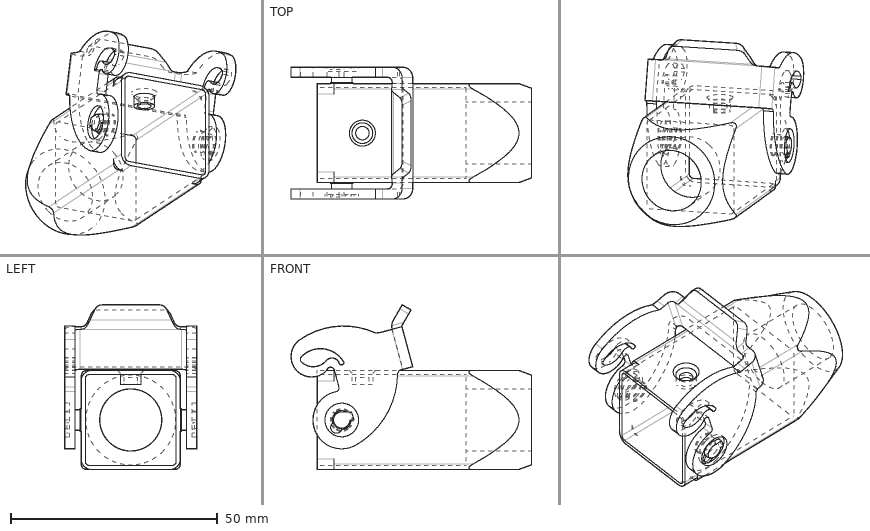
import cadquery as cq
import math


HOOD_LENGTH = 51.9
HOOD_SIZE = 24.0
HALF_SIZE = HOOD_SIZE / 2
WALL = 1.0
CAVITY_SIZE = HOOD_SIZE - 2 * WALL
CAVITY_DEPTH = 36.0
CAVITY_CORNER = 1.0
BODY_CORNER = 1.35
MOUTH_CORNER = 2.55
MOUTH_LENGTH = 4.1
CABLE_HOLE_DIAMETER = 15.0
NOSE_END_RADIUS = 10.9
NOSE_ANGLE = 20.0

SCREW_X = 10.95
SCREW_DIAMETER = 3.25
SCREW_HEAD_DIAMETER = 6.3
SCREW_SEAT_DEPTH = 1.75
SCREW_BOSS_DIAMETER = 5.0
SCREW_BOSS_LENGTH = 2.4

LEVER_WIDTH = 32.0
LEVER_HALF = LEVER_WIDTH / 2
SHEET = 2.5
ARM_INNER_Y = LEVER_HALF - SHEET
ARM_TILT = 15.0
LEVER_BEND_RADIUS = 2.55
LEVER_INNER_FILLET = 1.15

PIVOT_X = 5.95
PIVOT_Z = HALF_SIZE
PIVOT_RADIUS = 2.5
PIVOT_COLLAR_RADIUS = 2.75
PIVOT_COLLAR_HEIGHT = 0.25
DISC_RADIUS = 7.0
RECESS_RADIUS = 4.1
RECESS_DEPTH = 1.1
PIN_HEAD_RADIUS = 2.0
PIN_ROOT_RADIUS = 2.3
PIN_FLAT_END = (2.35, PIN_HEAD_RADIUS)
PIN_POINT_REACH = 3.05
PIN_LOBE_RADIUS = 1.4
PIN_LOBE_OFFSET = (-1.3, -1.8)

HOOK_CENTER = (-1.35, 27.4)
HOOK_RADIUS = 5.0
CROWN_CENTER = (6.4, 16.15)
CROWN_RADIUS = 18.65
CROWN_END_X = 14.15
DIP_X = 15.8
BACK_RADIUS = 20.05
BACK_CENTER_Z = 23.3
NOTCH_CENTER = (3.25, 23.8)
NOTCH_RADIUS = 0.95
NOTCH_START_ANGLE = 165
THROAT_END_X = 5.25
THROAT_DISC_ANGLE = 101
HEEL_STEP = 0.8
MOUTH_SIDE_ANGLE = 200

SLOT_END_TOP = (-4.0, 27.1)
SLOT_CROWN = (0.9, 29.25)
SLOT_TAIL_OUTER = (6.45, 25.9)
SLOT_TAIL_TIP = (6.05, 25.4)
SLOT_TAIL_INNER = (5.3, 25.85)
SLOT_FINGER_TOP = (3.5, 27.05)
SLOT_FINGER_END = (2.15, 26.35)
SLOT_BOTTOM = (-0.7, 24.95)
SLOT_END_BOTTOM = (-4.0, 26.3)

BRIDGE_FOOT = (20.75, 24.25)
BRIDGE_HEIGHT = 10.1
TAB_TILT = 30.0
TAB_BEND_RADIUS = 2.9
TAB_LENGTH = 4.3
TAB_ROOT_HALF = 11.05
TAB_SIDE_ANGLE = 30.0
TAB_FLARE_RADIUS = 1.75
TAB_CORNER = 1.75


def point_on_circle(center, radius, angle):
    """Point at an angle in degrees, measured from the first axis."""
    turn = math.radians(angle)
    return (center[0] + radius * math.cos(turn), center[1] + radius * math.sin(turn))


def angle_between(start, end):
    """Direction in degrees from one point to another."""
    return math.degrees(math.atan2(end[1] - start[1], end[0] - start[0]))


def along_x(size, corner, start, length):
    """Rounded square bar running along X on the hood centreline."""
    return (
        cq.Workplane("YZ", origin=(start, 0, HALF_SIZE))
        .rect(size, size)
        .extrude(length)
        .edges("|X")
        .fillet(corner)
    )


def hood():
    body = along_x(HOOD_SIZE, MOUTH_CORNER, 0, MOUTH_LENGTH).union(
        along_x(HOOD_SIZE, BODY_CORNER, MOUTH_LENGTH, HOOD_LENGTH - MOUTH_LENGTH)
    )

    mouth_cone_radius = NOSE_END_RADIUS + HOOD_LENGTH * math.tan(math.radians(NOSE_ANGLE))
    cone = (
        cq.Workplane("XY", origin=(0, 0, HALF_SIZE))
        .polyline([(0, 0), (0, mouth_cone_radius), (HOOD_LENGTH, NOSE_END_RADIUS), (HOOD_LENGTH, 0)])
        .close()
        .revolve(360, (0, 0, 0), (1, 0, 0))
    )
    body = body.intersect(cone)

    body = body.cut(along_x(CAVITY_SIZE, CAVITY_CORNER, 0, CAVITY_DEPTH))
    cable_hole = (
        cq.Workplane("YZ", origin=(0, 0, HALF_SIZE)).circle(CABLE_HOLE_DIAMETER / 2).extrude(HOOD_LENGTH)
    )
    body = body.cut(cable_hole)

    boss = (
        cq.Workplane("XY", origin=(SCREW_X, 0, HOOD_SIZE - WALL / 2))
        .circle(SCREW_BOSS_DIAMETER / 2)
        .extrude(-SCREW_BOSS_LENGTH - WALL / 2)
    )
    return body.union(boss).cut(screw_hole())


def screw_hole():
    """Through hole in the top wall and boss, with a conical seat for the screw head."""
    head_radius = SCREW_HEAD_DIAMETER / 2
    hole_radius = SCREW_DIAMETER / 2
    seat_bottom = HOOD_SIZE - SCREW_SEAT_DEPTH
    boss_bottom = HOOD_SIZE - WALL - SCREW_BOSS_LENGTH
    return (
        cq.Workplane("XZ", origin=(SCREW_X, 0, 0))
        .polyline(
            [
                (0, boss_bottom),
                (hole_radius, boss_bottom),
                (hole_radius, seat_bottom),
                (head_radius, HOOD_SIZE),
                (0, HOOD_SIZE),
            ]
        )
        .close()
        .revolve(360, (0, 0, 0), (0, 1, 0))
    )


def on_side(y):
    """Sketch plane with axes X and Z whose extrusions run outward, towards -Y."""
    return cq.Workplane("XZ", origin=(0, y, 0))


def arm_blank():
    """Lever arm plate on the -Y side, without its hook slot and pin recess."""
    pivot = (PIVOT_X, PIVOT_Z)
    uphill = math.tan(math.radians(ARM_TILT))
    shoulder = point_on_circle(BRIDGE_FOOT, BRIDGE_HEIGHT, 90 + ARM_TILT)
    outer_foot = point_on_circle(BRIDGE_FOOT, SHEET, ARM_TILT)
    outer_shoulder = point_on_circle(shoulder, SHEET, ARM_TILT)

    back_drop = BACK_CENTER_Z - PIVOT_Z
    back_center = (PIVOT_X - math.sqrt((BACK_RADIUS - DISC_RADIUS) ** 2 - back_drop ** 2), BACK_CENTER_Z)
    tangent_angle = angle_between(back_center, pivot)
    back_top = point_on_circle(back_center, BACK_RADIUS, 0)
    back_mid = point_on_circle(back_center, BACK_RADIUS, tangent_angle / 2)
    back_end = point_on_circle(back_center, BACK_RADIUS, tangent_angle)
    heel = (BRIDGE_FOOT[0] - HEEL_STEP, BRIDGE_FOOT[1] - HEEL_STEP * uphill)

    crown_angle = angle_between(CROWN_CENTER, HOOK_CENTER)
    crown_start = point_on_circle(CROWN_CENTER, CROWN_RADIUS, crown_angle)
    crown_rise = math.sqrt(CROWN_RADIUS ** 2 - (CROWN_END_X - CROWN_CENTER[0]) ** 2)
    crown_end = (CROWN_END_X, CROWN_CENTER[1] + crown_rise)
    dip = (DIP_X, shoulder[1] - (shoulder[0] - DIP_X) * uphill)

    notch_left = point_on_circle(NOTCH_CENTER, NOTCH_RADIUS, NOTCH_START_ANGLE)
    notch_right = point_on_circle(NOTCH_CENTER, NOTCH_RADIUS, ARM_TILT)
    throat_end = (THROAT_END_X, notch_right[1] - (THROAT_END_X - notch_right[0]) / uphill)
    disc_start = point_on_circle(pivot, DISC_RADIUS, THROAT_DISC_ANGLE)

    return (
        on_side(-ARM_INNER_Y)
        .moveTo(*outer_foot)
        .lineTo(*outer_shoulder)
        .lineTo(*shoulder)
        .lineTo(*dip)
        .tangentArcPoint(crown_end, relative=False)
        .threePointArc(point_on_circle(CROWN_CENTER, CROWN_RADIUS, 90), crown_start)
        .threePointArc(point_on_circle(HOOK_CENTER, HOOK_RADIUS, MOUTH_SIDE_ANGLE), notch_left)
        .threePointArc(point_on_circle(NOTCH_CENTER, NOTCH_RADIUS, 90), notch_right)
        .lineTo(*throat_end)
        .tangentArcPoint(disc_start, relative=False)
        .threePointArc(point_on_circle(pivot, DISC_RADIUS, MOUTH_SIDE_ANGLE), back_end)
        .threePointArc(back_mid, back_top)
        .lineTo(*heel)
        .lineTo(*BRIDGE_FOOT)
        .close()
        .extrude(SHEET)
    )


def hook_slot():
    """Curved opening that leaves the hook as a springy finger."""
    return (
        on_side(-ARM_INNER_Y)
        .moveTo(*SLOT_END_TOP)
        .threePointArc(SLOT_CROWN, SLOT_TAIL_OUTER)
        .threePointArc(SLOT_TAIL_TIP, SLOT_TAIL_INNER)
        .threePointArc(SLOT_FINGER_TOP, SLOT_FINGER_END)
        .threePointArc(SLOT_BOTTOM, SLOT_END_BOTTOM)
        .close()
        .extrude(SHEET)
    )


def pin_head():
    """Riveted pin end inside the recess: tapered core, pointed flat and low lobe."""
    recess_floor = -(LEVER_HALF - RECESS_DEPTH)
    center = cq.Workplane("XZ", origin=(PIVOT_X, recess_floor, PIVOT_Z))
    draft = math.degrees(math.atan((PIN_ROOT_RADIUS - PIN_HEAD_RADIUS) / RECESS_DEPTH))
    core = center.circle(PIN_ROOT_RADIUS).extrude(RECESS_DEPTH, taper=draft)
    flat = (
        center.polyline([(0, 0), (0, PIN_HEAD_RADIUS), PIN_FLAT_END, (PIN_POINT_REACH, 0)])
        .close()
        .extrude(RECESS_DEPTH)
    )
    lobe = center.center(*PIN_LOBE_OFFSET).circle(PIN_LOBE_RADIUS).extrude(RECESS_DEPTH / 2)
    return core.union(flat).union(lobe)


def side_parts():
    """Arm, pivot and pin head of the -Y side."""
    recess = (
        cq.Workplane("XZ", origin=(PIVOT_X, -LEVER_HALF + RECESS_DEPTH, PIVOT_Z))
        .circle(RECESS_RADIUS)
        .extrude(RECESS_DEPTH)
    )
    pivot_base = cq.Workplane("XZ", origin=(PIVOT_X, -HALF_SIZE, PIVOT_Z))
    pivot = pivot_base.circle(PIVOT_RADIUS).extrude(ARM_INNER_Y - HALF_SIZE)
    collar = pivot_base.circle(PIVOT_COLLAR_RADIUS).extrude(PIVOT_COLLAR_HEIGHT)
    arm = arm_blank().cut(hook_slot()).cut(recess)
    return arm.union(pin_head()).union(pivot).union(collar)


def sheet_plane(origin, lean):
    """Plane on the hood side of a cross sheet: local x is Y, local y climbs the sheet.

    The lean is the angle in degrees by which the sheet tips towards the mouth.
    """
    turn = math.radians(lean)
    return cq.Plane(
        origin=(origin[0], 0, origin[1]), xDir=(0, 1, 0), normal=(math.cos(turn), 0, math.sin(turn))
    )


def bridge():
    """Cross wall between the arms, with a fillet in each inside corner."""
    foot = sheet_plane(BRIDGE_FOOT, ARM_TILT)
    wall = (
        cq.Workplane(foot)
        .center(0, BRIDGE_HEIGHT / 2)
        .rect(2 * ARM_INNER_Y, BRIDGE_HEIGHT)
        .extrude(SHEET)
    )
    across = cq.Plane(origin=foot.origin, xDir=(0, 1, 0), normal=foot.yDir)
    bulge = LEVER_INNER_FILLET * (1 - math.sqrt(0.5))
    for side in (-1, 1):
        corner = side * ARM_INNER_Y
        fillet = (
            cq.Workplane(across)
            .moveTo(corner, 0)
            .lineTo(corner - side * LEVER_INNER_FILLET, 0)
            .threePointArc((corner - side * bulge, bulge), (corner, LEVER_INNER_FILLET))
            .close()
            .extrude(BRIDGE_HEIGHT)
        )
        wall = wall.union(fillet)
    return wall


def tab():
    """Thumb tab: the sheet bends outward above the bridge and narrows to a rounded tip."""
    root = point_on_circle(BRIDGE_FOOT, BRIDGE_HEIGHT, 90 + ARM_TILT)
    bend_center = point_on_circle(root, TAB_BEND_RADIUS, ARM_TILT)
    inner_radius = TAB_BEND_RADIUS - SHEET
    start_angle = 180 + ARM_TILT
    end_angle = 180 - TAB_TILT
    middle_angle = (start_angle + end_angle) / 2
    mouth_side_base = point_on_circle(bend_center, TAB_BEND_RADIUS, end_angle)
    mouth_side_tip = point_on_circle(mouth_side_base, TAB_LENGTH, 90 - TAB_TILT)
    hood_side_tip = point_on_circle(mouth_side_tip, SHEET, -TAB_TILT)
    strip = (
        cq.Workplane("XZ")
        .moveTo(*point_on_circle(bend_center, inner_radius, start_angle))
        .lineTo(*root)
        .threePointArc(point_on_circle(bend_center, TAB_BEND_RADIUS, middle_angle), mouth_side_base)
        .lineTo(*mouth_side_tip)
        .lineTo(*hood_side_tip)
        .lineTo(*point_on_circle(bend_center, inner_radius, end_angle))
        .threePointArc(
            point_on_circle(bend_center, inner_radius, middle_angle),
            point_on_circle(bend_center, inner_radius, start_angle),
        )
        .close()
        .extrude(LEVER_HALF, both=True)
    )

    lean = math.radians(TAB_SIDE_ANGLE)
    turn = 90 - TAB_SIDE_ANGLE
    flare_half = TAB_ROOT_HALF + TAB_FLARE_RADIUS * math.tan(math.radians(turn / 2))
    flare_center = (flare_half, TAB_FLARE_RADIUS)
    flare_middle = point_on_circle(flare_center, TAB_FLARE_RADIUS, 270 - turn / 2)
    side_start = point_on_circle(flare_center, TAB_FLARE_RADIUS, 270 - turn)
    cut_height = TAB_BEND_RADIUS + TAB_LENGTH
    cut_half = TAB_ROOT_HALF - cut_height * math.tan(lean)
    face = sheet_plane(root, ARM_TILT)
    half_outline = (
        cq.Workplane(face)
        .moveTo(flare_half, 0)
        .threePointArc(flare_middle, side_start)
        .lineTo(cut_half, cut_height)
        .lineTo(0, cut_height)
        .lineTo(0, 0)
        .close()
        .extrude(cut_height, both=True)
    )
    outline = half_outline.union(half_outline.mirror("XZ"))
    blank = strip.intersect(outline)
    for side in (-1, 1):
        corner = (hood_side_tip[0], side * cut_half, mouth_side_tip[1])
        blank = blank.edges("not |Y").edges(cq.selectors.NearestToPointSelector(corner)).fillet(TAB_CORNER)
    return blank


near_side = side_parts()
lever = near_side.union(near_side.mirror("XZ")).union(bridge())

outer_mid = sheet_plane(BRIDGE_FOOT, ARM_TILT).toWorldCoords((0, BRIDGE_HEIGHT / 2, SHEET))
for side in (-1, 1):
    corner = (outer_mid.x, side * LEVER_HALF, outer_mid.z)
    lever = lever.edges(cq.selectors.NearestToPointSelector(corner)).fillet(LEVER_BEND_RADIUS)

result = hood().union(lever).union(tab())